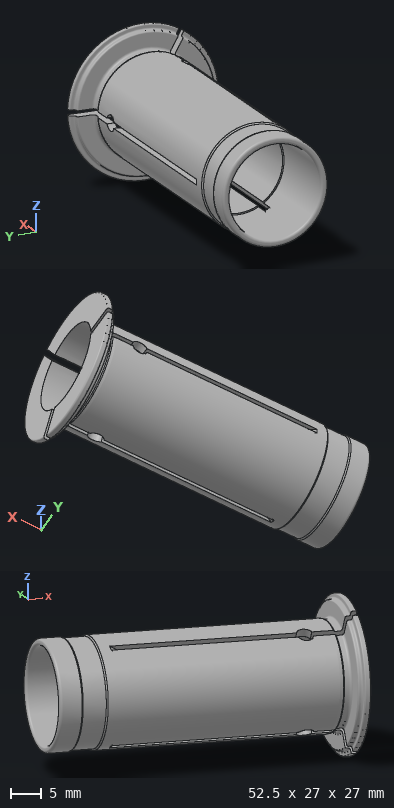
import cadquery as cq
import math

total_length = 52.5
cut_margin = 1.0

barrel_radius = 9.55
land_radius = 9.5
mouth_outer_fillet = 0.5
mouth_inner_fillet = 0.5

relief_depth = 0.2
relief_radius = land_radius - relief_depth
relief_start = 3.8
relief_end = 8.3
relief_ramp = 0.25

neck_taper_start = 48.5
neck_taper_end = 49.1
neck_taper_drop = 0.08
neck_radius = relief_radius
neck_start = 49.3
neck_fillet = 0.5

collar_radius = 12.5
collar_start = 50.6
collar_fillet = 0.3
rim_radius = 13.5
rim_start = 51.45
rim_front_fillet = 0.25
rim_back_fillet = 0.3
step_fillet = 0.35

mouth_bore_radius = 8.25
bore_radius = 8.0
bore_step_position = 14.6

slot_count = 3
slot_width = 1.0
slot_start = 10.3
slot_floor_angle = 33.0
relief_hole_diameter = 2.8
relief_hole_position = 44.0


def add_round(sketch, center, radius, start_angle, end_angle):
    """Line to the start of a quarter round about center, then follow it; angles in degrees."""
    def point_at(angle):
        turn = math.radians(angle)
        return (center[0] + radius * math.cos(turn), center[1] + radius * math.sin(turn))

    middle_angle = (start_angle + end_angle) / 2
    sketch = sketch.lineTo(*point_at(start_angle))
    return sketch.threePointArc(point_at(middle_angle), point_at(end_angle))


def make_sleeve():
    """Revolve the wall section (X along the axis, Y as radius) about the X axis."""
    section = cq.Workplane("XY").moveTo(bore_step_position, mouth_bore_radius)

    inner_center = (mouth_inner_fillet, mouth_bore_radius + mouth_inner_fillet)
    outer_center = (mouth_outer_fillet, land_radius - mouth_outer_fillet)
    section = add_round(section, inner_center, mouth_inner_fillet, 270, 180)
    section = add_round(section, outer_center, mouth_outer_fillet, 180, 90)

    section = section.lineTo(relief_start, land_radius)
    section = section.lineTo(relief_start + relief_ramp, relief_radius)
    section = section.lineTo(relief_end - relief_ramp, relief_radius)
    section = section.lineTo(relief_end, barrel_radius)

    section = section.lineTo(neck_taper_start, barrel_radius)
    section = section.lineTo(neck_taper_end, barrel_radius - neck_taper_drop)
    section = section.lineTo(neck_start, neck_radius)
    neck_center = (collar_start - neck_fillet, neck_radius + neck_fillet)
    section = add_round(section, neck_center, neck_fillet, 270, 360)

    collar_center = (collar_start + collar_fillet, collar_radius - collar_fillet)
    step_center = (rim_start - step_fillet, collar_radius + step_fillet)
    rim_front_center = (rim_start + rim_front_fillet, rim_radius - rim_front_fillet)
    rim_back_center = (total_length - rim_back_fillet, rim_radius - rim_back_fillet)
    section = add_round(section, collar_center, collar_fillet, 180, 90)
    section = add_round(section, step_center, step_fillet, 270, 360)
    section = add_round(section, rim_front_center, rim_front_fillet, 180, 90)
    section = add_round(section, rim_back_center, rim_back_fillet, 90, 0)

    section = section.lineTo(total_length, bore_radius)
    section = section.lineTo(bore_step_position, bore_radius)
    return section.close().revolve(360, (0, 0, 0), (1, 0, 0))


def make_slot_cutter():
    """Cutter for the slot on the +Y side: sloped run-out, open through the flange, with its hole."""
    inner_radius = bore_radius - cut_margin
    outer_radius = rim_radius + cut_margin
    end = total_length + cut_margin
    floor_length = (barrel_radius - inner_radius) / math.tan(math.radians(slot_floor_angle))
    slot = (
        cq.Workplane("XY")
        .moveTo(slot_start, outer_radius)
        .lineTo(slot_start, barrel_radius)
        .lineTo(slot_start + floor_length, inner_radius)
        .lineTo(end, inner_radius)
        .lineTo(end, outer_radius)
        .close()
        .extrude(slot_width / 2, both=True)
    )
    hole = (
        cq.Workplane("XZ", origin=(relief_hole_position, outer_radius, 0))
        .circle(relief_hole_diameter / 2)
        .extrude(outer_radius)
    )
    return slot.union(hole)


def cut_slots(sleeve):
    """Cut the equally spaced slots, the first on the +Y side."""
    cutter = make_slot_cutter()
    for index in range(slot_count):
        angle = index * 360 / slot_count
        sleeve = sleeve.cut(cutter.rotate((0, 0, 0), (1, 0, 0), angle))
    return sleeve


result = cut_slots(make_sleeve())